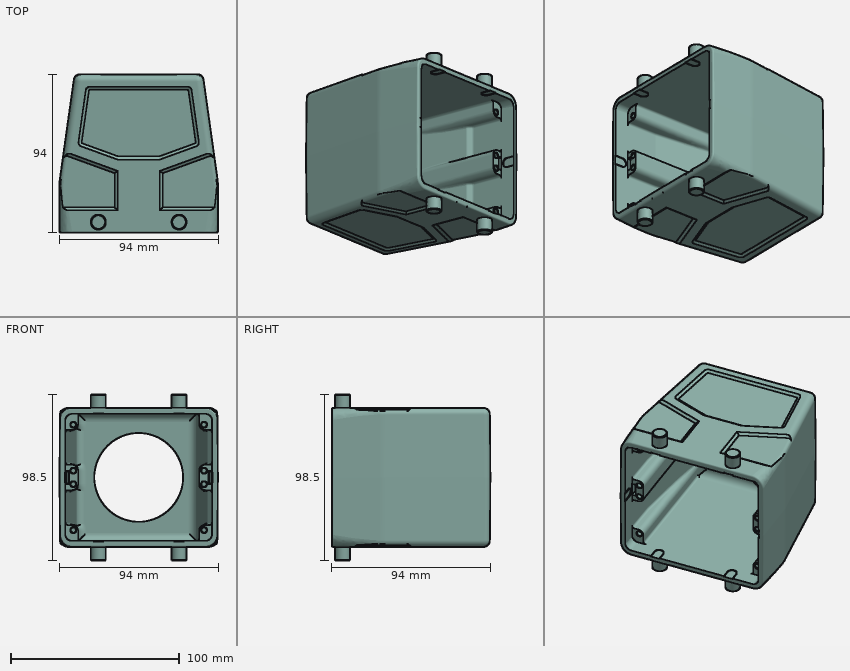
import cadquery as cq
import math


width = 94.0
length = 94.0
body_height = 82.5
draft = 0.5
side_angle = 8.0
side_bend_y = 30.0
side_bend_radius = 20.0
edge_radius = 4.0
rim_corner_radius = 7.4
flare_mid_y = 14.0
flare_mid_radius = 5.2
flare_start_y = 27.0
rim_edge_radius = 1.0

half_width = width / 2
half_height = body_height / 2
side_slope = math.tan(math.radians(side_angle))
draft_inset = half_height * math.tan(math.radians(draft))

floor_y = 88.0
cavity_half_height = 37.6
cavity_mouth_x = 43.5
cavity_bend_x = 43.0
left_floor_x = 36.45
right_floor_x = 33.6
step_x = 40.7
step_start_y = 30.4
step_end_y = 33.4
cavity_radius = 4.0
floor_radius = 4.7
step_blend_radius = 2.0
cable_hole_diameter = 52.5

boss_y = 9.2
boss_inner_x = 35.9
boss_corner_radius = 3.5
boss_draft = 0.15
boss_root_radius = 1.4
mid_boss_half_height = 7.5
corner_boss_z = 28.2
screw_x = 38.7
screw_z = (4.0, 31.2)
screw_diameter = 3.1
screw_mouth_diameter = 3.7
screw_depth = 12.0
notch_inner_x = 41.1
notch_height = 8.0
notch_depth = 3.0
notch_draft = 12.0

pin_x = 23.9
pin_y = 6.3
pin_diameter = 9.0
pin_length = 8.0
pin_chamfer = 0.5
slot_width = 5.7
slot_end_y = 8.0
slot_depth = 0.4

panel_depth = 1.2
panel_wall_run = 1.9
panel_half_flat = 12.4
panel_diagonal_slope = math.tan(math.radians(20.0))
label_margin = 8.0
label_back_y = 86.5
label_front_y = 43.3
label_corner_radius = 2.5
grip_front_y = 13.2
grip_inner_y = 36.6
grip_edge_radius = 2.3
panel_wall_angle = math.degrees(math.atan2(panel_wall_run, panel_depth))


def side_x(y):
    """Half width of the converging rear part at the parting plane."""
    return half_width - (y - side_bend_y) * side_slope


def mirror_both(solid):
    """A solid together with its copy below the parting plane."""
    return solid.union(solid.mirror("XY"))


def upper_prism(height, radius, start_y):
    """Drafted upper half of the hood behind start_y, rounded along its top and back edges."""
    outline = [
        (-half_width, start_y),
        (half_width, start_y),
        (half_width, side_bend_y),
        (side_x(length), length),
        (-side_x(length), length),
        (-half_width, side_bend_y),
    ]
    prism = cq.Workplane("XY").polyline(outline).close().extrude(height, taper=draft)
    bends = cq.selectors.BoxSelector(
        (-width, side_bend_y - 2, 0.1), (width, side_bend_y + 2, height - 0.1)
    )
    prism = prism.edges(bends).fillet(side_bend_radius)
    back_edges = cq.selectors.BoxSelector(
        (-width, length - 2, 0.1), (width, length + 1, height + 1)
    )
    top_sides = cq.selectors.BoxSelector(
        (-width, start_y + 2, height - 0.1), (width, length + 1, height + 0.1)
    )
    return prism.edges(back_edges + top_sides).fillet(radius)


def front_section(y, radius):
    """Drafted cross-section of the straight front part."""
    edge_x = half_width - draft_inset
    points = [
        (half_width, 0),
        (edge_x, half_height),
        (-edge_x, half_height),
        (-half_width, 0),
        (-edge_x, -half_height),
        (edge_x, -half_height),
    ]
    wire = cq.Workplane("XZ", origin=(0, y, 0)).polyline(points).close().val()
    corners = [v for v in wire.Vertices() if abs(v.Z) > 1]
    return wire.fillet2D(radius, corners)


def outer_shell():
    split = cq.Workplane("XY").box(
        2 * width, length, 2 * width, centered=(True, False, True)
    ).translate((0, flare_start_y, 0))
    rear = mirror_both(upper_prism(half_height, edge_radius, 0)).intersect(split)
    sections = [
        front_section(0, rim_corner_radius),
        front_section(flare_mid_y, flare_mid_radius),
        front_section(flare_start_y, edge_radius),
    ]
    front = cq.Workplane(cq.Solid.makeLoft(sections))
    front = front.faces("<Y").edges().fillet(rim_edge_radius)
    return rear.union(front)


def boss_root_edges():
    """Selector for the edges along Y where the bosses meet the cavity walls."""
    flank_x = boss_inner_x + boss_corner_radius
    tolerance = 0.3
    spans = [
        (flank_x, half_width, mid_boss_half_height),
        (flank_x, half_width, corner_boss_z),
        (boss_inner_x - tolerance, boss_inner_x + tolerance, cavity_half_height),
    ]
    boxes = [
        cq.selectors.BoxSelector(
            (sx * x_near, boss_y + tolerance, sz * z - tolerance),
            (sx * x_far, floor_y - tolerance, sz * z + tolerance),
        )
        for sx in (-1, 1)
        for sz in (-1, 1)
        for x_near, x_far, z in spans
    ]
    selector = boxes[0]
    for box in boxes[1:]:
        selector = selector + box
    return selector


def cavity():
    outline = [
        (-cavity_mouth_x, 0),
        (cavity_mouth_x, 0),
        (cavity_bend_x, step_start_y),
        (step_x, step_end_y),
        (right_floor_x, floor_y),
        (-left_floor_x, floor_y),
        (-cavity_bend_x, side_bend_y),
    ]
    space = (
        cq.Workplane("XY")
        .workplane(offset=-cavity_half_height)
        .polyline(outline)
        .close()
        .extrude(2 * cavity_half_height)
    )
    step_edges = cq.selectors.BoxSelector(
        (0, step_start_y - 1, -1), (width, step_end_y + 1, 1)
    )
    space = space.edges(step_edges).fillet(step_blend_radius)
    mouth = (
        cq.Workplane("XZ")
        .rect(2 * cavity_mouth_x, 2 * cavity_half_height)
        .extrude(-length)
        .edges("|Y")
        .fillet(cavity_radius)
    )
    space = space.cut(bosses())
    floored = space.faces(">Y").edges().fillet(floor_radius)
    flanked = space.edges(boss_root_edges()).fillet(boss_root_radius)
    return floored.intersect(flanked).intersect(mouth)


def boss(side, z_low, z_high):
    """Drafted boss running from boss_y to the cavity floor along one side wall."""
    outer_x = half_width + boss_corner_radius
    return (
        cq.Workplane("XZ", origin=(0, boss_y, 0))
        .center(side * (boss_inner_x + outer_x) / 2, (z_low + z_high) / 2)
        .sketch()
        .rect(outer_x - boss_inner_x, z_high - z_low)
        .vertices()
        .fillet(boss_corner_radius)
        .finalize()
        .extrude(boss_y - floor_y - cavity_radius, taper=-boss_draft)
    )


def bosses():
    top = half_height + boss_corner_radius
    parts = cq.Workplane("XY")
    for side in (-1, 1):
        parts = parts.union(boss(side, -mid_boss_half_height, mid_boss_half_height))
        parts = parts.union(boss(side, corner_boss_z, top))
        parts = parts.union(boss(side, -top, -corner_boss_z))
    return parts


def screw_holes():
    points = [(sx * screw_x, sz * z) for sx in (-1, 1) for sz in (-1, 1) for z in screw_z]
    face = cq.Workplane("XZ", origin=(0, boss_y, 0)).pushPoints(points)
    holes = face.circle(screw_diameter / 2).extrude(-screw_depth)
    sink = (screw_mouth_diameter - screw_diameter) / 2
    mouths = face.circle(screw_mouth_diameter / 2).extrude(-sink, taper=45)
    return holes.union(mouths)


def boss_notches():
    notch_width = cavity_mouth_x - notch_inner_x
    centre_x = notch_inner_x + notch_width / 2
    return (
        cq.Workplane("XZ", origin=(0, boss_y, 0))
        .pushPoints([(-centre_x, 0), (centre_x, 0)])
        .rect(notch_width, notch_height)
        .extrude(-notch_depth, taper=notch_draft)
    )


def slot(plane, centre, wall):
    """Shallow round-ended slot open to the rim, sunk into the wall at the given distance."""
    half = slot_width / 2
    return (
        cq.Workplane(plane)
        .workplane(offset=wall - 1)
        .moveTo(centre - half, 0)
        .lineTo(centre - half, slot_end_y - half)
        .threePointArc((centre, slot_end_y), (centre + half, slot_end_y - half))
        .lineTo(centre + half, 0)
        .close()
        .extrude(1 + slot_depth)
    )


def inner_slots():
    slots = cq.Workplane("XY")
    for x in (-pin_x, pin_x):
        slots = slots.union(mirror_both(slot("XY", x, cavity_half_height)))
    side = slot("ZY", 0, cavity_mouth_x)
    return slots.union(side).union(side.mirror("YZ"))


def pins():
    """The two pins on the top face, rooted in the wall."""
    return (
        cq.Workplane("XY")
        .workplane(offset=half_height - edge_radius / 2)
        .pushPoints([(-pin_x, pin_y), (pin_x, pin_y)])
        .circle(pin_diameter / 2)
        .extrude(edge_radius / 2 + pin_length)
        .faces(">Z")
        .edges()
        .chamfer(pin_chamfer)
    )


def label_panel():
    corner_run = half_width + side_bend_y * side_slope - label_margin
    corner_x = (
        corner_run - side_slope * (label_front_y - panel_half_flat * panel_diagonal_slope)
    ) / (1 + side_slope * panel_diagonal_slope)
    corner_y = label_front_y + (corner_x - panel_half_flat) * panel_diagonal_slope
    back_x = side_x(label_back_y) - label_margin
    right = [(panel_half_flat, label_front_y), (corner_x, corner_y), (back_x, label_back_y)]
    left = [(-x, y) for x, y in reversed(right)]
    wire = cq.Workplane("XY", origin=(0, 0, half_height)).polyline(right + left).close().val()
    corners = [v for v in wire.Vertices() if abs(v.X) > panel_half_flat + 1]
    face = cq.Workplane("XY", origin=(0, 0, half_height)).add(wire.fillet2D(label_corner_radius, corners))
    return face.toPending().extrude(-panel_depth, taper=panel_wall_angle)


def grip_panels():
    """Side panels: open to the sides, their floors rounded over into the side faces."""
    outer_x = width
    outline = [
        (panel_half_flat, grip_front_y),
        (outer_x, grip_front_y),
        (outer_x, grip_inner_y + (outer_x - panel_half_flat) * panel_diagonal_slope),
        (panel_half_flat, grip_inner_y),
    ]
    reach = edge_radius
    right = (
        cq.Workplane("XY", origin=(0, 0, half_height))
        .polyline(outline)
        .close()
        .extrude(-reach, taper=panel_wall_angle)
    )
    core = upper_prism(half_height - panel_depth, grip_edge_radius, 0)
    right = right.cut(core)
    return right.union(right.mirror("YZ"))


cable_hole = cq.Workplane("XZ").circle(cable_hole_diameter / 2).extrude(-length - 1)
panels = label_panel().union(grip_panels())

result = (
    outer_shell()
    .cut(mirror_both(panels))
    .union(mirror_both(pins()))
    .cut(cavity())
    .cut(inner_slots())
    .cut(boss_notches())
    .cut(screw_holes())
    .cut(cable_hole)
)